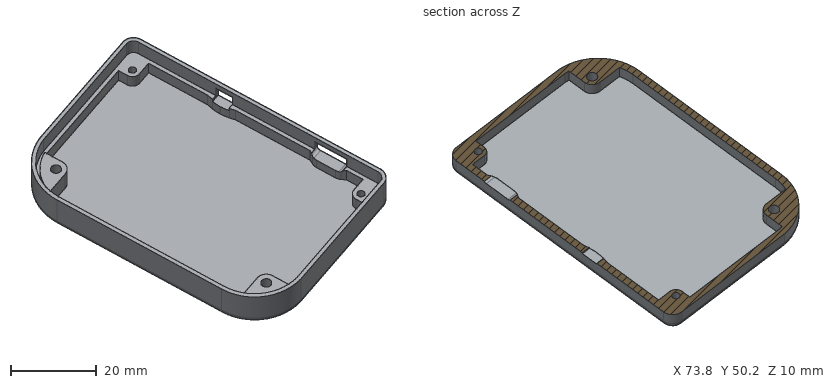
import cadquery as cq

LENGTH = 73.75
WIDTH = 50.15
HEIGHT = 10.0
FRONT_SPAN_X = 13.6
FRONT_SPAN_Y = 12.9
BACK_RADIUS = 3.0
BOTTOM_FILLET = 2.0

LOWER_WALL = 2.0
UPPER_WALL = LOWER_WALL / 2
FLOOR = 2.0
LEDGE_Z = 5.6
ROOT_Z = FLOOR / 2

BACK_HOLE_X = 32.3
BACK_HOLE_Y = 19.3
BACK_HOLE_DIAMETER = 1.85
BACK_POST_RADIUS = 2.0
FRONT_HOLE_X = 29.7
FRONT_HOLE_Y = -16.0
FRONT_HOLE_DIAMETER = 2.5
FRONT_POST_RADIUS = 2.6
FRONT_POST_Z = 7.4

OPENING_BOTTOM_Z = 4.8
OPENING_TOP_Z = 8.3
CONNECTOR_X = 20.5
CONNECTOR_WIDTH = 9.0
CONNECTOR_CORNER = 0.95
CONNECTOR_SWELL_BASE = 10.3
CONNECTOR_SWELL_CREST = 6.8
CONNECTOR_SWELL_DEPTH = 0.95
CONNECTOR_SHOULDER_RADIUS = 2.95
SWITCH_X = -9.65
SWITCH_WIDTH = 4.65
SWITCH_SWELL_BASE = 8.0
SWITCH_SWELL_CREST = 2.5
SWITCH_SWELL_DEPTH = 0.6
SWITCH_SHOULDER_RADIUS = 11.05

BACK_Y = WIDTH / 2
LEDGE_Y = BACK_Y - LOWER_WALL


def rounded_block(inset, bottom, top):
    """Block with the plan outline of the shell, moved inward by inset."""
    half_x = LENGTH / 2 - inset
    half_y = WIDTH / 2 - inset
    back_radius = BACK_RADIUS - inset
    span_x = FRONT_SPAN_X - inset
    span_y = FRONT_SPAN_Y - inset
    front_radius = (span_x**2 + span_y**2) / (2 * span_y)
    return (
        cq.Workplane("XY")
        .workplane(offset=bottom)
        .moveTo(half_x - span_x, -half_y)
        .radiusArc((half_x, span_y - half_y), -front_radius)
        .lineTo(half_x, half_y - back_radius)
        .radiusArc((half_x - back_radius, half_y), -back_radius)
        .lineTo(back_radius - half_x, half_y)
        .radiusArc((-half_x, half_y - back_radius), -back_radius)
        .lineTo(-half_x, span_y - half_y)
        .radiusArc((span_x - half_x, -half_y), -front_radius)
        .close()
        .extrude(top - bottom)
    )


def corner_post(side, hole_x, hole_y, radius, top, inset):
    """Post in the corner beside the hole, rounded about it and trimmed to the shell outline at inset."""
    end = 1 if hole_y > 0 else -1
    inner_x = hole_x - radius
    inner_y = abs(hole_y) - radius
    post = (
        cq.Workplane("XY")
        .workplane(offset=ROOT_Z)
        .center(side * (inner_x + LENGTH / 2) / 2, end * (inner_y + WIDTH / 2) / 2)
        .rect(LENGTH / 2 - inner_x, WIDTH / 2 - inner_y)
        .extrude(top - ROOT_Z)
    )
    side_selector = "<X" if side > 0 else ">X"
    end_selector = "<Y" if end > 0 else ">Y"
    post = post.edges(f"|Z and {side_selector} and {end_selector}").fillet(radius)
    return post.intersect(rounded_block(inset, ROOT_Z, top))


def hole(x, y, diameter, bottom):
    """Cutter for a vertical hole, open upward from the given height."""
    return (
        cq.Workplane("XY")
        .workplane(offset=bottom)
        .center(x, y)
        .circle(diameter / 2)
        .extrude(HEIGHT - bottom)
    )


def shell():
    """Open tray with a rounded bottom edge and a ledge around the inside."""
    body = rounded_block(0, 0, HEIGHT).faces("<Z").edges().fillet(BOTTOM_FILLET)
    body = body.cut(rounded_block(UPPER_WALL, LEDGE_Z, HEIGHT))
    return body.cut(rounded_block(LOWER_WALL, FLOOR, HEIGHT))


def add_posts(body):
    """Level posts with through holes at the back, taller posts with blind holes at the front."""
    for side in (-1, 1):
        back_post = corner_post(
            side, BACK_HOLE_X, BACK_HOLE_Y, BACK_POST_RADIUS, LEDGE_Z, UPPER_WALL
        )
        front_post = corner_post(
            side, FRONT_HOLE_X, FRONT_HOLE_Y, FRONT_POST_RADIUS, FRONT_POST_Z, LOWER_WALL
        )
        body = body.union(back_post).union(front_post)
        body = body.cut(hole(side * BACK_HOLE_X, BACK_HOLE_Y, BACK_HOLE_DIAMETER, 0))
        body = body.cut(hole(side * FRONT_HOLE_X, FRONT_HOLE_Y, FRONT_HOLE_DIAMETER, FLOOR))
    return body


def ledge_swell(center_x, base_width, crest_width, depth, shoulder_radius):
    """Smooth inward bulge of the ledge, sloping out to a flat crest."""
    base_half = base_width / 2
    crest_half = crest_width / 2
    swell = (
        cq.Workplane("XY")
        .workplane(offset=ROOT_Z)
        .moveTo(center_x - base_half, BACK_Y - UPPER_WALL)
        .lineTo(center_x - base_half, LEDGE_Y)
        .lineTo(center_x - crest_half, LEDGE_Y - depth)
        .lineTo(center_x + crest_half, LEDGE_Y - depth)
        .lineTo(center_x + base_half, LEDGE_Y)
        .lineTo(center_x + base_half, BACK_Y - UPPER_WALL)
        .close()
        .extrude(LEDGE_Z - ROOT_Z)
    )
    return swell.edges("|Z and <Y").fillet(shoulder_radius)


def opening(center_x, width):
    """Cutter through the back wall, reaching inward over the ledge swelling."""
    depth = 2 * (LOWER_WALL + CONNECTOR_SWELL_DEPTH)
    return (
        cq.Workplane("XY")
        .box(width, depth, OPENING_TOP_Z - OPENING_BOTTOM_Z, centered=(True, True, False))
        .translate((center_x, BACK_Y, OPENING_BOTTOM_Z))
    )


body = add_posts(shell())
body = body.union(
    ledge_swell(
        CONNECTOR_X,
        CONNECTOR_SWELL_BASE,
        CONNECTOR_SWELL_CREST,
        CONNECTOR_SWELL_DEPTH,
        CONNECTOR_SHOULDER_RADIUS,
    )
)
body = body.union(
    ledge_swell(
        SWITCH_X,
        SWITCH_SWELL_BASE,
        SWITCH_SWELL_CREST,
        SWITCH_SWELL_DEPTH,
        SWITCH_SHOULDER_RADIUS,
    )
)
connector_opening = opening(CONNECTOR_X, CONNECTOR_WIDTH)
body = body.cut(connector_opening.edges("|Y and <Z").fillet(CONNECTOR_CORNER))
result = body.cut(opening(SWITCH_X, SWITCH_WIDTH))